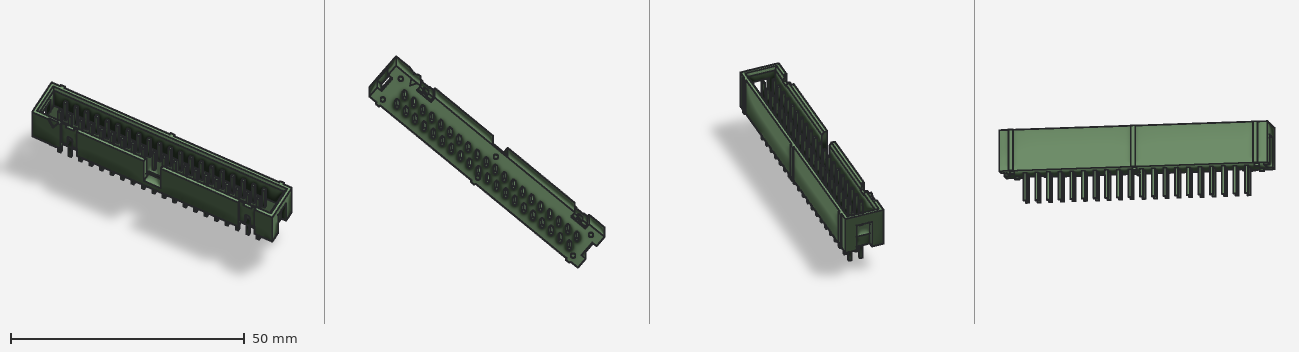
import cadquery as cq


LENGTH = 58.4
WIDTH = 8.9
HEIGHT = 8.95
END_WALL = 1.2
FRONT_WALL = 1.3
BACK_WALL = 1.2
FLOOR_TOP = 2.6
LEAD_IN_WIDTH = 0.45
LEAD_IN_HEIGHT = 0.7
FRONT = -WIDTH / 2
BACK = WIDTH / 2

INNER_CENTER_Y = (FRONT_WALL - BACK_WALL) / 2

COLUMNS = 20
ROW_SPAN = 48.25
PITCH = ROW_SPAN / (COLUMNS - 1)
PIN_SIZE = 0.65
PIN_TOP = 8.75
PIN_DROP = 6.0

KEY_WIDTH = 4.1
KEY_BOTTOM = 1.65
KEY_DEPTH = 2.1

LATCH_CENTERS = (-8 * PITCH, 9 * PITCH)
LATCH_WIDTH = 4.0
LATCH_DEPTH = 0.5
LATCH_OPENING_TOP = 1.75
LATCH_SLOT_WIDTH = 1.3
LATCH_SLOT_TOP = 4.8
LATCH_NOTCH_WIDTH = 2.0
LATCH_NOTCH_DEPTH = 1.0

WINDOW_WIDTH = 3.55
WINDOW_TOP = 6.5

RIB_WIDTH = 1.0
RIB_DEPTH = 0.35
FOOT_DIAMETER = 1.0
FOOT_HEIGHT = 0.5
FOOT_X = 26.65
FOOT_ROW_OFFSET = 3.0
FOOT_COLUMNS = (-FOOT_X, 0, FOOT_X)

MARK_X = -ROW_SPAN / 2
FRONT_MARK_WIDTH = 2.45
FRONT_MARK_HEIGHT = 2.45
FRONT_MARK_DEPTH = 0.3
BOTTOM_MARK_WIDTH = 1.65
BOTTOM_MARK_LENGTH = 1.4
BOTTOM_MARK_DEPTH = 0.2


def block(x_range, y_range, z_range):
    """Box between two limits along each axis."""
    sizes = [high - low for low, high in (x_range, y_range, z_range)]
    corner = (x_range[0], y_range[0], z_range[0])
    return cq.Workplane("XY").box(*sizes, centered=False).translate(corner)


def centered_range(center, size):
    return (center - size / 2, center + size / 2)


def make_shroud():
    """Open-topped box with a lead-in chamfer around the inner rim."""
    shell = cq.Workplane("XY").box(LENGTH, WIDTH, HEIGHT, centered=(True, True, False))
    inner_length = LENGTH - 2 * END_WALL
    inner_width = WIDTH - FRONT_WALL - BACK_WALL
    cavity = (
        cq.Workplane("XY", origin=(0, INNER_CENTER_Y, FLOOR_TOP))
        .rect(inner_length, inner_width)
        .extrude(HEIGHT - FLOOR_TOP)
    )
    lead_in = (
        cq.Workplane("XY", origin=(0, INNER_CENTER_Y, HEIGHT - LEAD_IN_HEIGHT))
        .rect(inner_length, inner_width)
        .workplane(offset=LEAD_IN_HEIGHT)
        .rect(inner_length + 2 * LEAD_IN_WIDTH, inner_width + 2 * LEAD_IN_WIDTH)
        .loft(ruled=True)
    )
    return shell.cut(cavity).cut(lead_in)


def cut_end_windows(body):
    """Window through each end wall, running down the outside of the floor."""
    for start in (-LENGTH / 2, LENGTH / 2 - END_WALL):
        through_wall = (start, start + END_WALL)
        window = block(through_wall, centered_range(INNER_CENTER_Y, WINDOW_WIDTH), (0, WINDOW_TOP))
        body = body.cut(window)
    return body


def cut_key_slot(body):
    slot = block(centered_range(0, KEY_WIDTH), (FRONT, FRONT + KEY_DEPTH), (KEY_BOTTOM, HEIGHT))
    return body.cut(slot)


def cut_latch(body, center):
    """Shallow recess with a bottom opening, a round-topped slot and a top notch."""
    through_wall = (FRONT, FRONT + FRONT_WALL)
    full_width = centered_range(center, LATCH_WIDTH)
    recess = block(full_width, (FRONT, FRONT + LATCH_DEPTH), (0, HEIGHT))
    opening = block(full_width, through_wall, (0, LATCH_OPENING_TOP))

    arc_start = LATCH_SLOT_TOP - LATCH_SLOT_WIDTH / 2
    slot = block(centered_range(center, LATCH_SLOT_WIDTH), through_wall, (0, arc_start))
    slot_end = (
        cq.Workplane("XZ", origin=(center, FRONT, arc_start))
        .circle(LATCH_SLOT_WIDTH / 2)
        .extrude(-FRONT_WALL)
    )
    notch = block(
        centered_range(center, LATCH_NOTCH_WIDTH),
        through_wall,
        (HEIGHT - LATCH_NOTCH_DEPTH, HEIGHT),
    )
    for cutter in (recess, opening, slot, slot_end, notch):
        body = body.cut(cutter)
    return body


def cut_front_mark(body):
    """Triangle engraved in the front face, pointing down at pin 1."""
    mark = (
        cq.Workplane("XZ", origin=(MARK_X, FRONT, HEIGHT))
        .moveTo(-FRONT_MARK_WIDTH / 2, 0)
        .lineTo(FRONT_MARK_WIDTH / 2, 0)
        .lineTo(0, -FRONT_MARK_HEIGHT)
        .close()
        .extrude(-FRONT_MARK_DEPTH)
    )
    return body.cut(mark)


def add_bottom_mark(body):
    """Raised triangle on the underside, pointing from the front edge at pin 1."""
    mark = (
        cq.Workplane("XY", origin=(MARK_X, FRONT, 0))
        .moveTo(-BOTTOM_MARK_WIDTH / 2, 0)
        .lineTo(BOTTOM_MARK_WIDTH / 2, 0)
        .lineTo(0, BOTTOM_MARK_LENGTH)
        .close()
        .extrude(-BOTTOM_MARK_DEPTH)
    )
    return body.union(mark)


def add_ribs(body):
    for x in FOOT_COLUMNS:
        rib = block(centered_range(x, RIB_WIDTH), (BACK - BACK_WALL / 2, BACK + RIB_DEPTH), (0, HEIGHT))
        body = body.union(rib)
    return body


def add_feet(body):
    foot_rows = (INNER_CENTER_Y - FOOT_ROW_OFFSET, INNER_CENTER_Y + FOOT_ROW_OFFSET)
    centers = [(x, y) for x in FOOT_COLUMNS for y in foot_rows]
    feet = cq.Workplane("XY").pushPoints(centers).circle(FOOT_DIAMETER / 2).extrude(-FOOT_HEIGHT)
    return body.union(feet)


def add_pins(body):
    pins = (
        cq.Workplane("XY", origin=(0, INNER_CENTER_Y, -PIN_DROP))
        .rarray(PITCH, PITCH, COLUMNS, 2)
        .rect(PIN_SIZE, PIN_SIZE)
        .extrude(PIN_DROP + PIN_TOP)
    )
    return body.union(pins)


result = make_shroud()
result = cut_end_windows(result)
result = cut_key_slot(result)
for latch_center in LATCH_CENTERS:
    result = cut_latch(result, latch_center)
result = cut_front_mark(result)
result = add_bottom_mark(result)
result = add_ribs(result)
result = add_feet(result)
result = add_pins(result)